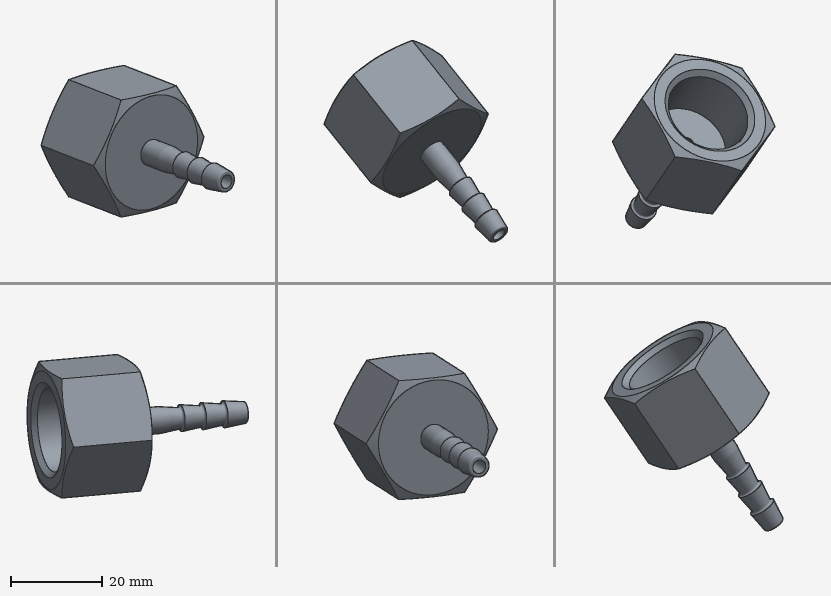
import cadquery as cq
import math

total_length = 46.0
hex_length = 20.0

across_flats = 27.0
across_corners = across_flats / math.cos(math.radians(30))
end_face_radius = 13.0
hex_chamfer_angle = 20.0
corner_clearance = 0.45

socket_radius = 9.3
socket_depth = 16.1
mouth_radius = 10.5
mouth_chamfer_length = 1.15

washer_radius = 9.0
washer_thickness = 2.0
washer_hole_radius = 1.6

barb_count = 4
plain_stem_length = 6.05
first_barb_x = hex_length + plain_stem_length
barb_pitch = (total_length - first_barb_x) / barb_count
barb_large_radius = 3.0
barb_small_radius = 2.4
neck_length = 0.55
barb_foot_round = 0.4
tip_round = 0.35
selection_margin = 0.05

passage_radius = 1.5


def x_cylinder(start, length, radius):
    return cq.Workplane("YZ", origin=(start, 0, 0)).circle(radius).extrude(length)


def revolve_profile(points):
    """Revolve a closed (x, radius) outline about the X axis."""
    return cq.Workplane("XY").polyline(points).close().revolve(360, (0, 0, 0), (1, 0, 0))


def make_hex_head():
    hexagon = cq.Workplane("YZ").polygon(6, across_corners).extrude(hex_length)
    blank_radius = across_corners / 2 + corner_clearance
    chamfer_length = (blank_radius - end_face_radius) * math.tan(math.radians(hex_chamfer_angle))
    turned_blank = revolve_profile([
        (0, 0),
        (0, end_face_radius),
        (chamfer_length, blank_radius),
        (hex_length - chamfer_length, blank_radius),
        (hex_length, end_face_radius),
        (hex_length, 0),
    ])
    return hexagon.intersect(turned_blank)


def round_rim(stem, rim_x, radius):
    """Fillet the circle where a barb's narrow end lies, leaving the wider rim at the same x sharp."""
    reach = barb_small_radius + selection_margin
    rim_box = cq.selectors.BoxSelector(
        (rim_x - selection_margin, -reach, -reach),
        (rim_x + selection_margin, reach, reach),
        boundingbox=True,
    )
    return stem.edges(rim_box).fillet(radius)


def make_barbed_stem():
    stem_start = (socket_depth + hex_length) / 2
    outline = [(stem_start, 0), (stem_start, barb_large_radius)]
    for index in range(barb_count - 1):
        barb_start = first_barb_x + index * barb_pitch
        barb_end = barb_start + barb_pitch
        outline += [
            (barb_start, barb_large_radius),
            (barb_end - neck_length, barb_small_radius),
            (barb_end, barb_small_radius),
        ]
    outline += [
        (total_length - barb_pitch, barb_large_radius),
        (total_length, barb_small_radius),
        (total_length, 0),
    ]
    stem = revolve_profile(outline)
    for index in range(1, barb_count):
        stem = round_rim(stem, first_barb_x + index * barb_pitch, barb_foot_round)
    return round_rim(stem, total_length, tip_round)


def make_socket():
    mouth = revolve_profile([
        (0, 0),
        (0, mouth_radius),
        (mouth_chamfer_length, socket_radius),
        (mouth_chamfer_length, 0),
    ])
    return x_cylinder(0, socket_depth, socket_radius).union(mouth)


def make_fitting():
    fitting = make_hex_head().union(make_barbed_stem())
    fitting = fitting.cut(make_socket())
    return fitting.cut(x_cylinder(0, total_length, passage_radius))


def make_washer():
    washer_start = socket_depth - washer_thickness
    disc = x_cylinder(washer_start, washer_thickness, washer_radius)
    return disc.cut(x_cylinder(washer_start, washer_thickness, washer_hole_radius))


fitting = make_fitting()
washer = make_washer()
result = cq.Compound.makeCompound([fitting.val(), washer.val()])